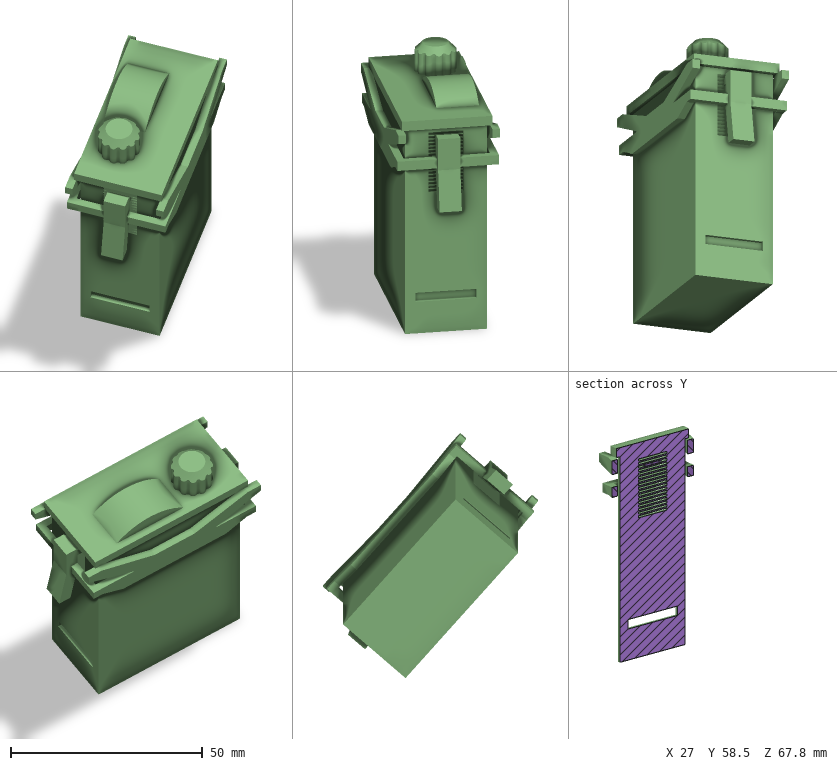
import cadquery as cq
import math

block_width = 21.7
block_length = 44.4
plate_width = 24.0
plate_length = 48.0
plate_bottom = 57.4
plate_top = 60.1
total_height = 67.8

rack_width = 9.2
rack_bottom = 39.05
rack_height = 16.8
tooth_count = 17
tooth_pitch = rack_height / tooth_count
tooth_depth = tooth_pitch

slot_width = 16.15
slot_bottom = 8.8
slot_height = 2.5
slot_depth = 1.15

wheel_left = -10.0
wheel_width = 11.3
wheel_y = 5.4
wheel_chord = 20.95
wheel_rise = 3.8

knob_x = -3.5
knob_y = -12.1
knob_diameter = 11.05
knob_crest_radius = knob_diameter / 2
knob_flank_radius = 5.3
knob_valley_radius = 5.0
knob_flank_angle = 8.8
knob_rib_count = 12
knob_chamfer = 2.05

clip_width = 27.0
clip_length = 58.5
clip_side_thickness = 2.05
arm_reach = 27.05
arm_top_bend = 23.05
arm_end_height = 2.4
saddle_half_length = 6.25
saddle_z = 51.9
notch_y = 12.7
bar_outer_y = 25.5
bar_bottom = 47.0
bar_height = 2.6
bar_top = bar_bottom + bar_height
belly_bend = 22.65
belly_half_length = 16.15
belly_z = 44.5

latch_width = 5.9
latch_thickness = 3.5
latch_top = 55.65
latch_inner_y = arm_reach - latch_thickness
leg_end_y = clip_length / 2
leg_bottom = 36.1
engaged_tooth = 14

block_end_y = block_length / 2
rack_root_y = block_end_y - tooth_depth


def both_ends(shape):
    """Return the shape at the -Y end together with its mirror image at the +Y end."""
    return shape.union(shape.mirror("XZ"))


def extruded_across_x(profile, width):
    """Extrude a closed YZ profile by the given width, centred on X = 0."""
    return profile.extrude(width / 2, both=True)


def rack_pocket():
    """Sawtooth pocket: flat ledges facing up, with a slope rising outward from each root.

    The outline runs on past the wall, out to the latch, so that the pocket is open.
    """
    points = []
    for tooth in range(tooth_count):
        ledge_z = rack_bottom + tooth * tooth_pitch
        points += [(-block_end_y, ledge_z), (-rack_root_y, ledge_z)]
    rack_top = rack_bottom + rack_height
    points += [(-block_end_y, rack_top), (-latch_inner_y, rack_top), (-latch_inner_y, rack_bottom)]
    return extruded_across_x(cq.Workplane("YZ").polyline(points).close(), rack_width)


def end_slot():
    return (
        cq.Workplane("XY")
        .box(slot_width, slot_depth, slot_height, centered=(True, False, False))
        .translate((0, -block_end_y, slot_bottom))
    )


def thumb_wheel():
    """Part of a cylinder along X that stands above the plate."""
    return (
        cq.Workplane("YZ", origin=(wheel_left, wheel_y, plate_top))
        .moveTo(-wheel_chord / 2, 0)
        .threePointArc((0, wheel_rise), (wheel_chord / 2, 0))
        .close()
        .extrude(wheel_width)
    )


def polar_point(radius, angle):
    """Point at the given radius and angle in degrees."""
    return (radius * math.cos(math.radians(angle)), radius * math.sin(math.radians(angle)))


def knob():
    """Knob with a wavy grip of rounded ribs and concave flutes, trimmed by a cone at the top."""
    height = total_height - plate_top
    base = cq.Plane(origin=(knob_x, knob_y, plate_top))
    rib_step = 360 / knob_rib_count
    grip = cq.Workplane(base).moveTo(*polar_point(knob_flank_radius, -knob_flank_angle))
    for rib in range(knob_rib_count):
        crest_angle = rib * rib_step
        next_crest_angle = crest_angle + rib_step
        grip = grip.threePointArc(
            polar_point(knob_crest_radius, crest_angle),
            polar_point(knob_flank_radius, crest_angle + knob_flank_angle),
        ).threePointArc(
            polar_point(knob_valley_radius, crest_angle + rib_step / 2),
            polar_point(knob_flank_radius, next_crest_angle - knob_flank_angle),
        )
    envelope = cq.Workplane(base).circle(knob_crest_radius).extrude(height).faces(">Z").chamfer(knob_chamfer)
    return grip.close().extrude(height).intersect(envelope)


def make_housing():
    block = cq.Workplane("XY").box(block_width, block_length, plate_bottom, centered=(True, True, False))
    plate = (
        cq.Workplane("XY", origin=(0, 0, plate_bottom))
        .rect(plate_width, plate_length)
        .extrude(plate_top - plate_bottom)
    )
    block = block.cut(both_ends(rack_pocket())).cut(both_ends(end_slot()))
    return block.union(plate).union(thumb_wheel()).union(knob())


def clip_sides():
    """Two side plates, each with raised spring arms and the side runs of the frame bar."""
    half_profile = [
        (saddle_half_length, saddle_z),
        (arm_top_bend, plate_bottom),
        (arm_reach, plate_bottom),
        (arm_reach, plate_bottom - arm_end_height),
        (notch_y, bar_top),
        (bar_outer_y, bar_top),
        (bar_outer_y, bar_bottom),
        (belly_bend, bar_bottom),
        (belly_half_length, belly_z),
    ]
    other_half = [(-y, z) for y, z in reversed(half_profile)]
    profile = cq.Workplane("YZ").polyline(half_profile + other_half).close()
    core_width = clip_width - 2 * clip_side_thickness
    core = cq.Workplane("XY").box(core_width, 2 * leg_end_y, 2 * total_height)
    return extruded_across_x(profile, clip_width).cut(core)


def end_bar():
    """Cross bar that joins the two side plates at one end."""
    thickness = bar_outer_y - latch_inner_y
    return (
        cq.Workplane("XY")
        .box(clip_width, thickness, bar_height, centered=(True, False, False))
        .translate((0, -bar_outer_y, bar_bottom))
    )


def latch():
    """Latch with a pawl resting on one rack ledge and a splayed finger leg.

    The pawl has a flat underside and a 45 degree ramp that lies along the slope of the rack tooth.
    """
    pawl_bottom = rack_bottom + engaged_tooth * tooth_pitch
    ramp_run = latch_top - pawl_bottom
    splay = leg_end_y - arm_reach
    points = [
        (-arm_reach, latch_top),
        (-rack_root_y - ramp_run, latch_top),
        (-rack_root_y, pawl_bottom),
        (-latch_inner_y, pawl_bottom),
        (-latch_inner_y, bar_bottom),
        (-latch_inner_y - splay, leg_bottom),
        (-leg_end_y, leg_bottom),
        (-arm_reach, bar_bottom),
    ]
    return extruded_across_x(cq.Workplane("YZ").polyline(points).close(), latch_width)


def make_clip():
    return clip_sides().union(both_ends(end_bar())).union(both_ends(latch()))


housing = make_housing()
clip = make_clip()

result = cq.Compound.makeCompound([housing.val(), clip.val()])